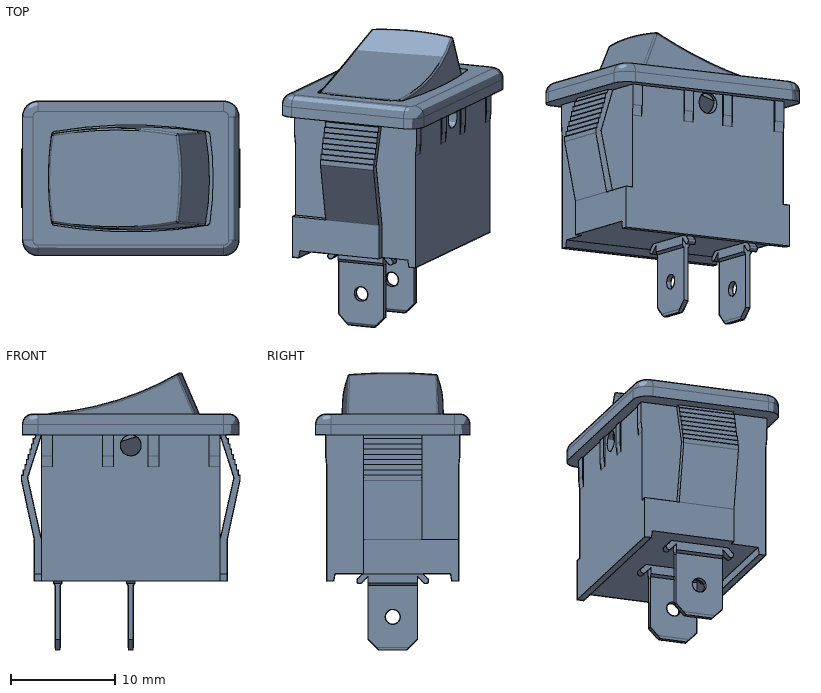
import cadquery as cq
import math


bezel_length = 20.74
bezel_width = 14.8
bezel_height = 2.0
bezel_corner_radius = 1.5
bezel_edge_radius = 1.0

body_length = 17.1
body_width = 12.65
body_depth = 14.0
foot_height = 0.7
foot_width = 0.68
foot_top_width = 0.8

rib_width = 1.05
rib_height = 0.11
rib_full_depth = 2.0
rib_total_depth = 3.0
inner_rib_x = 2.2
outer_rib_x = (body_length - rib_width) / 2

overall_length = 20.94
arm_thickness = 0.7
arm_width = 5.6
bend_thickness = 0.6
bend_z = -4.1
band_top = -10.0
step_count = 8
step_pitch = 0.5
step_depth = 0.16
first_step_z = -0.35
arm_lean = step_depth / step_pitch

pivot_z = -1.0
rocker_tilt = 17.3
rocker_end_half_length = 6.32
rocker_half_length = 6.7
rocker_end_half_width = 4.25
rocker_half_width = 4.78
rocker_top = 5.28
rocker_bottom = -2.0
rocker_end_draft = 6.0
rocker_side_draft = 2.0
rocker_corner_radius = 0.2
rocker_rim_radius = 0.18
dish_depth = 0.77

opening_half_length = 7.89
opening_end_half_length = 7.55
opening_half_width = 5.12
opening_end_half_width = 4.45
opening_floor = -0.26
opening_corner_radius = 0.35

pivot_diameter = 2.0
pivot_hole_depth = 0.4
pivot_chamfer_offset = 0.63
pivot_chamfer_angle = 30.0

terminal_positions = (-7.0, 0.0)
terminal_thickness = 0.5
terminal_width = 4.75
terminal_bottom = -20.6
terminal_embedment = 0.7
terminal_corner = 1.02
terminal_hole_diameter = 1.4
terminal_hole_z = -17.42
tip_height = 0.26
tip_thickness = 0.4
collar_thickness = 0.82
collar_bottom = -14.17
collar_taper_bottom = -14.43
wing_root_y = 2.6
wing_root_z = -13.4
wing_length = 1.08
wing_thickness = 0.56
wing_angle = 45.0

body_floor = foot_height - body_depth


def side_prism(points, y_start, y_end):
    """Extrude a closed XZ outline from y_start to y_end."""
    return cq.Workplane("XZ", origin=(0, y_start, 0)).polyline(points).close().extrude(y_start - y_end)


def cross_prism(points, x_start, x_end):
    """Extrude a closed YZ outline from x_start to x_end."""
    return cq.Workplane("YZ", origin=(x_start, 0, 0)).polyline(points).close().extrude(x_end - x_start)


def barrel(z, half_length, end_half_length, half_width, end_half_width):
    """Level outline at height z: a rectangle whose four sides bulge outward as arcs."""
    x, y = end_half_length, end_half_width
    return (
        cq.Workplane("XY", origin=(0, 0, z))
        .moveTo(-x, -y)
        .threePointArc((0, -half_width), (x, -y))
        .threePointArc((half_length, 0), (x, y))
        .threePointArc((0, half_width), (-x, y))
        .threePointArc((-half_length, 0), (-x, -y))
        .close()
    )


def make_bezel():
    plate = cq.Workplane("XY").rect(bezel_length, bezel_width).extrude(bezel_height)
    plate = plate.edges("|Z").fillet(bezel_corner_radius)
    return plate.faces(">Z").edges().fillet(bezel_edge_radius)


def make_body():
    half = body_width / 2
    inner = half - foot_width
    inner_top = half - foot_top_width
    outline = [
        (-half, 0),
        (half, 0),
        (half, -body_depth),
        (inner, -body_depth),
        (inner_top, body_floor),
        (-inner_top, body_floor),
        (-inner, -body_depth),
        (-half, -body_depth),
    ]
    return cross_prism(outline, -body_length / 2, body_length / 2)


def make_rib(x_center):
    """Rib pair crossing the housing, fading into both long sides at the lower end."""
    half = body_width / 2
    outer = half + rib_height
    outline = [
        (-outer, 0),
        (outer, 0),
        (outer, -rib_full_depth),
        (half, -rib_total_depth),
        (-half, -rib_total_depth),
        (-outer, -rib_full_depth),
    ]
    return cross_prism(outline, x_center - rib_width / 2, x_center + rib_width / 2)


def make_snap_arm():
    """Left snap arm: stepped grip leaning outward, then folding back to the band."""
    tip_x = -overall_length / 2
    band_x = -body_length / 2 - arm_thickness
    step_x = tip_x + step_count * step_depth
    step_z = first_step_z
    points = [(step_x - arm_lean * first_step_z, 0), (step_x, first_step_z)]
    for _ in range(step_count):
        points.append((step_x - step_depth, step_z))
        step_x -= step_depth
        step_z -= step_pitch
        points.append((step_x, step_z))
    points += [
        (band_x, band_top),
        (band_x, body_floor),
        (band_x + arm_thickness, body_floor),
        (band_x + arm_thickness, band_top),
        (tip_x + bend_thickness, bend_z),
        (-body_length / 2, 0),
    ]
    return side_prism(points, -arm_width / 2, arm_width / 2)


def make_band():
    """Left band: covers the low end wall from the near arm edge to the far side, with its foot."""
    half = body_width / 2
    outline = [
        (-arm_width / 2, band_top),
        (half, band_top),
        (half, -body_depth),
        (half - foot_width, -body_depth),
        (half - foot_top_width, body_floor),
        (-arm_width / 2, body_floor),
    ]
    return cross_prism(outline, -body_length / 2 - arm_thickness, -body_length / 2)


def make_opening():
    opening = barrel(
        opening_floor,
        opening_half_length,
        opening_end_half_length,
        opening_half_width,
        opening_end_half_width,
    ).extrude(bezel_height - opening_floor)
    return opening.edges("|Z").fillet(opening_corner_radius)


def rocker_outline(z):
    """Outline of the rocker at local height z, growing downward with the draft of its sides and ends."""
    depth = rocker_top - z
    end_spread = depth * math.tan(math.radians(rocker_end_draft))
    side_spread = depth * math.tan(math.radians(rocker_side_draft))
    return barrel(
        z,
        rocker_half_length + end_spread,
        rocker_end_half_length + end_spread,
        rocker_half_width + side_spread,
        rocker_end_half_width + side_spread,
    ).wire().val()


def make_rocker():
    """Barrel-shaped rocker with drafted sides, a concave top and a rounded rim, tilted on its pivot."""
    outlines = [rocker_outline(rocker_bottom), rocker_outline(rocker_top)]
    rocker = cq.Workplane(cq.Solid.makeLoft(outlines, True))
    rocker = rocker.edges("not(>Z or <Z)").fillet(rocker_corner_radius)
    dish_radius = (rocker_half_length**2 + dish_depth**2) / (2 * dish_depth)
    dish = (
        cq.Workplane("XZ", origin=(0, body_width, rocker_top - dish_depth + dish_radius))
        .circle(dish_radius)
        .extrude(2 * body_width)
    )
    rocker = rocker.cut(dish)
    top_face = rocker.faces(cq.selectors.BoxSelector((-1, -1, 0), (1, 1, rocker_top)))
    rocker = top_face.edges().fillet(rocker_rim_radius)
    return rocker.rotate((0, 0, 0), (0, 1, 0), -rocker_tilt).translate((0, 0, pivot_z))


def make_pivot_recess():
    """Round recess in the near long side, its floor a pin end chamfered on a slant that follows the rocker."""
    front = -body_width / 2
    hole = (
        cq.Workplane("XZ", origin=(0, front, pivot_z))
        .circle(pivot_diameter / 2)
        .extrude(-2 * pivot_diameter)
    )
    size = 6 * pivot_diameter
    lower_reach = size * math.tan(math.radians(pivot_chamfer_angle))
    keep = (
        cq.Workplane("YZ", origin=(-size / 2, 0, 0))
        .polyline([
            (front, size),
            (front + pivot_hole_depth, size),
            (front + pivot_hole_depth, pivot_chamfer_offset),
            (front + pivot_hole_depth + lower_reach, pivot_chamfer_offset - size),
            (front, pivot_chamfer_offset - size),
        ])
        .close()
        .extrude(size)
        .rotate((0, 0, 0), (0, 1, 0), -rocker_tilt)
        .translate((0, 0, pivot_z))
    )
    return hole.intersect(keep)


def make_wing():
    """Retaining wing of a terminal, splayed outward and down on a slant."""
    return (
        cq.Workplane("YZ", origin=(-collar_thickness / 2, 0, 0))
        .slot2D(2 * wing_length, wing_thickness)
        .extrude(collar_thickness)
        .rotate((0, 0, 0), (1, 0, 0), -wing_angle)
        .translate((0, wing_root_y, wing_root_z))
    )


def make_terminal(x_center):
    half_width = terminal_width / 2
    tab_top = body_floor + terminal_embedment
    outline = [
        (-half_width, tab_top),
        (half_width, tab_top),
        (half_width, terminal_bottom + terminal_corner),
        (half_width - terminal_corner, terminal_bottom),
        (terminal_corner - half_width, terminal_bottom),
        (-half_width, terminal_bottom + terminal_corner),
    ]
    blank = cross_prism(outline, -collar_thickness / 2, collar_thickness / 2)
    collar_x, blade_x, tip_x = collar_thickness / 2, terminal_thickness / 2, tip_thickness / 2
    right_side = [
        (collar_x, tab_top),
        (collar_x, collar_bottom),
        (blade_x, collar_taper_bottom),
        (blade_x, terminal_bottom + tip_height),
        (tip_x, terminal_bottom),
    ]
    left_side = [(-x, z) for x, z in reversed(right_side)]
    blade = blank.intersect(side_prism(right_side + left_side, -half_width, half_width))
    hole = (
        cq.Workplane("YZ", origin=(-collar_thickness, 0, terminal_hole_z))
        .circle(terminal_hole_diameter / 2)
        .extrude(2 * collar_thickness)
    )
    wing = make_wing()
    return blade.cut(hole).union(wing).union(wing.mirror("XZ")).translate((x_center, 0, 0))


result = make_bezel().union(make_body())
for rib_x in (-outer_rib_x, -inner_rib_x, inner_rib_x, outer_rib_x):
    result = result.union(make_rib(rib_x))
left_clip = make_snap_arm().union(make_band())
result = result.union(left_clip).union(left_clip.mirror("YZ"))
result = result.cut(make_opening()).union(make_rocker())
pivot_recess = make_pivot_recess()
result = result.cut(pivot_recess).cut(pivot_recess.mirror("XZ"))
for terminal_x in terminal_positions:
    result = result.union(make_terminal(terminal_x))